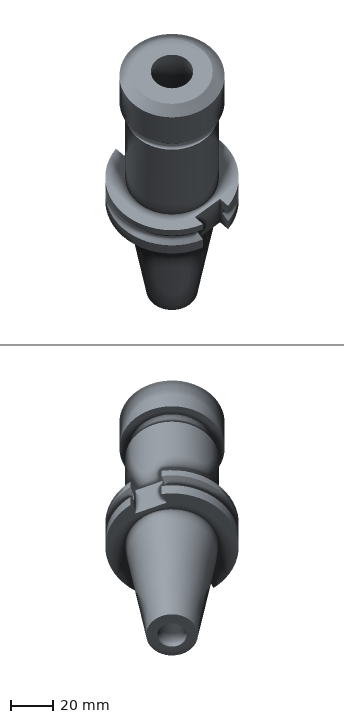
import cadquery as cq
import math

total_height = 169.8
gauge_z = 68.5
flange_bottom_z = 69.3
flange_top_z = 87.5
body_top_z = 138.0
neck_top_z = 140.8
collar_bottom_z = 142.3
nut_bottom_z = 146.4

taper_ratio = 7 / 24
gauge_radius = 22.3
shank_end_radius = gauge_radius - gauge_z * taper_ratio / 2

flange_diameter = 63.4
flange_radius = flange_diameter / 2
groove_center_z = 79.5
groove_floor_width = 3.4
groove_floor_radius = 27.9
groove_flank_angle = 30
groove_flank_rise = (flange_radius - groove_floor_radius) * math.tan(math.radians(groove_flank_angle))
groove_floor_half = groove_floor_width / 2
groove_mouth_half = groove_floor_half + groove_flank_rise

body_radius = 22.3
neck_radius = 18.7
collar_radius = 20.2
nut_radius = 25.0
nut_face_radius = 19.4
nut_chamfer_height = 3.2

through_bore_radius = 7.0
collet_bore_radius = 10.0
collet_bore_depth = total_height - flange_top_z

slot_width = 16.1
slot_floor_x = 25.0
slot_length = flange_radius
side_hole_radius = 5.1
side_hole_depth = 10.2


def turned_body():
    """Revolve the half profile (radius, height) about the Z axis."""
    profile = [
        (0, 0),
        (shank_end_radius, 0),
        (gauge_radius, gauge_z),
        (gauge_radius, flange_bottom_z),
        (flange_radius, flange_bottom_z),
        (flange_radius, groove_center_z - groove_mouth_half),
        (groove_floor_radius, groove_center_z - groove_floor_half),
        (groove_floor_radius, groove_center_z + groove_floor_half),
        (flange_radius, groove_center_z + groove_mouth_half),
        (flange_radius, flange_top_z),
        (body_radius, flange_top_z),
        (body_radius, body_top_z),
        (neck_radius, body_top_z),
        (neck_radius, neck_top_z),
        (collar_radius, collar_bottom_z),
        (collar_radius, nut_bottom_z),
        (nut_radius, nut_bottom_z),
        (nut_radius, total_height - nut_chamfer_height),
        (nut_face_radius, total_height),
        (0, total_height),
    ]
    return cq.Workplane("XZ").polyline(profile).close().revolve(360, (0, 0), (0, 1))


def stepped_bore():
    through = cq.Workplane("XY").circle(through_bore_radius).extrude(total_height)
    collet = (
        cq.Workplane("XY", origin=(0, 0, total_height))
        .circle(collet_bore_radius)
        .extrude(-collet_bore_depth)
    )
    return through.union(collet)


def drive_slot(side):
    """Rectangular slot through the flange rim; side is -1 or +1 along X."""
    center_x = side * (slot_floor_x + slot_length / 2)
    return (
        cq.Workplane("XY", origin=(center_x, 0, flange_bottom_z))
        .rect(slot_length, slot_width)
        .extrude(flange_top_z - flange_bottom_z)
    )


def side_hole():
    return (
        cq.Workplane("YZ", origin=(-slot_floor_x, 0, groove_center_z))
        .circle(side_hole_radius)
        .extrude(side_hole_depth)
    )


result = turned_body().cut(stepped_bore())
for side in (-1, 1):
    result = result.cut(drive_slot(side))
result = result.cut(side_hole())